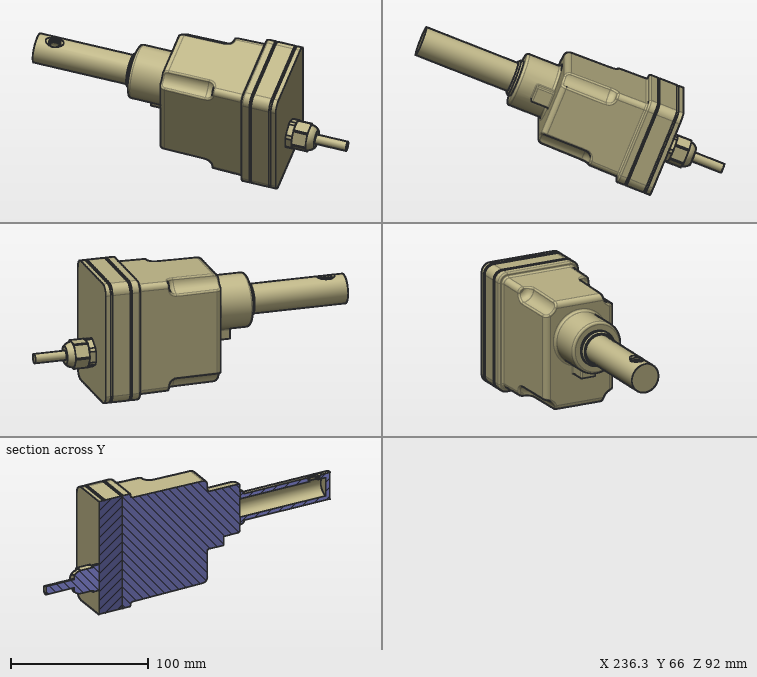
import cadquery as cq
import math


PROBE_LENGTH = 75.0
CASE_FACE_X = 101.8
FLANGE_X = 165.6
SPLIT_X = 173.0
COVER_END_X = 192.3
NUT_X = 197.0
DOME_X = 207.7
DOME_END_X = 213.0
CABLE_END_X = 236.3

PROBE_DIAMETER = 22.0
COLLAR_DIAMETER = 27.0
COLLAR_LENGTH = 3.3
COLLAR_CHAMFER = 1.5
BORE_DIAMETER = 14.5
TIP_WALL = 3.8
SIDE_HOLE_X = 13.5
SIDE_HOLE_DIAMETER = 7.0
COUNTERBORE_DIAMETER = 9.0
COUNTERBORE_FLOOR_Z = 8.5
COUNTERSINK_DIAMETER = 13.5

FLANGE_WIDTH = 66.0
FLANGE_HEIGHT = 92.0
FLANGE_CORNER_RADIUS = 7.0
FLANGE_EDGE_RADIUS = 1.5
CASE_CENTRE_Z = -12.0
LIP_LENGTH = 0.7
GROOVE_X = 187.9
GROOVE_WIDTH = 1.5
GROOVE_DEPTH = 0.2

CASE_WIDTH = 58.8
CASE_HEIGHT = 85.0
CASE_DRAFT = 1.0
CASE_EDGE_RADIUS = 4.3
CASE_ROOT_RADIUS = 1.5

POCKET_RADIUS = 9.0
POCKET_END_X = 142.3
POCKET_FLOOR_RADIUS = 5.5
POCKET_EDGE_RADIUS = 1.5
POCKET_OVERRUN = 2.4

BOSS_DIAMETER = 40.0
BOSS_FILLET = 2.0
KEY_X = 88.4
KEY_WIDTH = 12.0
KEY_BOTTOM_Z = -27.2
KEY_EDGE_RADIUS = 1.0
KEY_ROOT_RADIUS = 0.7

GLAND_Z = -28.0
BASE_NUT_ACROSS_FLATS = 19.8
FRONT_NUT_ACROSS_FLATS = 19.1
NUT_CORNER_DIAMETER = 21.5
DOME_MIDDLE_X = 210.8
DOME_MIDDLE_DIAMETER = 17.0
DOME_END_DIAMETER = 13.2
CABLE_DIAMETER = 7.0

TOLERANCE = 0.2
POCKET_REACH = 11.5


def plane_at(x, z=0.0):
    """A YZ work plane at station x, with its origin at height z."""
    return cq.Workplane("YZ", origin=(x, 0, z))


def cylinder(x_start, x_end, diameter, z=0.0):
    return plane_at(x_start, z).circle(diameter / 2).extrude(x_end - x_start)


def rounded_slab(x_start, x_end, inset=0.0):
    """A slab with the flange outline, shrunk all round by inset."""
    return (
        plane_at(x_start, CASE_CENTRE_Z)
        .rect(FLANGE_WIDTH - 2 * inset, FLANGE_HEIGHT - 2 * inset)
        .extrude(x_end - x_start)
        .edges("|X")
        .fillet(FLANGE_CORNER_RADIUS - inset)
    )


def make_side_hole():
    """Cutter for the countersunk, counterbored hole that opens into the probe bore."""
    probe_radius = PROBE_DIAMETER / 2
    cone_floor_z = math.sqrt(probe_radius**2 - (COUNTERBORE_DIAMETER / 2) ** 2)
    profile = [
        (0, 0),
        (SIDE_HOLE_DIAMETER / 2, 0),
        (SIDE_HOLE_DIAMETER / 2, COUNTERBORE_FLOOR_Z),
        (COUNTERBORE_DIAMETER / 2, COUNTERBORE_FLOOR_Z),
        (COUNTERBORE_DIAMETER / 2, cone_floor_z),
        (COUNTERSINK_DIAMETER / 2, probe_radius),
        (0, probe_radius),
    ]
    hole = cq.Workplane("XZ").polyline(profile).close().revolve(360, (0, 0), (0, 1))
    return hole.translate((SIDE_HOLE_X, 0, 0))


def make_probe():
    rod = cylinder(0, PROBE_LENGTH, PROBE_DIAMETER)
    collar = cylinder(PROBE_LENGTH - COLLAR_LENGTH, PROBE_LENGTH, COLLAR_DIAMETER)
    collar = collar.faces("<X").chamfer(COLLAR_CHAMFER)
    bore = cylinder(TIP_WALL, PROBE_LENGTH, BORE_DIAMETER)
    return rod.union(collar).cut(bore).cut(make_side_hole())


def make_case():
    """The tapered box, with its long edges and front edges rounded."""
    front_width = CASE_WIDTH - 2 * CASE_DRAFT
    front_height = CASE_HEIGHT - 2 * CASE_DRAFT
    return (
        plane_at(CASE_FACE_X, CASE_CENTRE_Z)
        .rect(front_width, front_height)
        .workplane(offset=FLANGE_X - CASE_FACE_X)
        .rect(CASE_WIDTH, CASE_HEIGHT)
        .loft(ruled=True)
        .edges("not(<X or >X)")
        .fillet(CASE_EDGE_RADIUS)
        .faces("<X")
        .edges()
        .fillet(CASE_EDGE_RADIUS)
    )


def cut_pockets(case):
    """Cut a round-bottomed pocket along each long corner, open at the front."""
    corner_y = CASE_WIDTH / 2 - CASE_DRAFT
    corner_z = CASE_HEIGHT / 2 - CASE_DRAFT
    pocket = cylinder(CASE_FACE_X - POCKET_OVERRUN, POCKET_END_X, 2 * POCKET_RADIUS)
    pocket = pocket.faces(">X").edges().fillet(POCKET_FLOOR_RADIUS)
    for side_y in (-1, 1):
        for side_z in (-1, 1):
            centre_z = CASE_CENTRE_Z + side_z * corner_z
            case = case.cut(pocket.translate((0, side_y * corner_y, centre_z)))
    return case


def is_pocket_rim(edge):
    """True for the edges where a pocket meets the outside of the case."""
    centre = edge.Center()
    on_floor_arc = edge.geomType() == "CIRCLE" and centre.x > CASE_FACE_X + TOLERANCE
    in_corner_y = abs(centre.y) > CASE_WIDTH / 2 - POCKET_REACH
    in_corner_z = abs(centre.z - CASE_CENTRE_Z) > CASE_HEIGHT / 2 - POCKET_REACH
    before_end = centre.x < POCKET_END_X + TOLERANCE
    return in_corner_y and in_corner_z and before_end and not on_floor_arc


def make_flange():
    """The flange with a rounded front edge, and the inset lip that meets the cover."""
    flange = rounded_slab(FLANGE_X, SPLIT_X - LIP_LENGTH).faces("<X").edges().fillet(FLANGE_EDGE_RADIUS)
    lip = rounded_slab(SPLIT_X - LIP_LENGTH, SPLIT_X, GROOVE_DEPTH)
    return flange.union(lip)


def make_boss():
    """The cylinder that carries the probe, with its front edge rounded."""
    boss = cylinder(PROBE_LENGTH, CASE_FACE_X, BOSS_DIAMETER)
    return boss.faces("<X").edges().fillet(BOSS_FILLET)


def boss_root():
    """Selector for the circle where the boss meets the front face of the case."""
    reach = BOSS_DIAMETER / 2 + TOLERANCE
    return cq.selectors.BoxSelector(
        (CASE_FACE_X - TOLERANCE, -reach, -reach),
        (CASE_FACE_X + TOLERANCE, reach, reach),
        boundingbox=True,
    )


def is_key_root(edge):
    """True for the edges where the key meets the boss, its root fillet and the case."""
    box = edge.BoundingBox()
    in_key_width = max(-box.ymin, box.ymax) < KEY_WIDTH / 2 + TOLERANCE
    in_key_height = KEY_BOTTOM_Z - TOLERANCE < box.zmin and box.zmax < 0
    in_key_length = box.xmin > KEY_X - TOLERANCE and box.xmax < CASE_FACE_X + TOLERANCE
    on_case = box.xmin > CASE_FACE_X - TOLERANCE
    on_boss = box.zmin > -BOSS_DIAMETER / 2 - BOSS_FILLET
    return in_key_width and in_key_height and in_key_length and (on_case or on_boss)


def make_key():
    """The block below the boss, rounded on its front, bottom and outer edges."""
    length = CASE_FACE_X - KEY_X
    key = cq.Workplane("XY").box(length, KEY_WIDTH, -KEY_BOTTOM_Z, centered=(False, True, False))
    key = key.translate((KEY_X, 0, KEY_BOTTOM_Z))
    return key.edges("<Z or (<X and |Z)").edges("not >X").fillet(KEY_EDGE_RADIUS)


def flange_root():
    """Selector for the outline where the case meets the front of the flange."""
    reach_y = CASE_WIDTH / 2 + TOLERANCE
    reach_z = CASE_HEIGHT / 2 + TOLERANCE
    return cq.selectors.BoxSelector(
        (FLANGE_X - TOLERANCE, -reach_y, CASE_CENTRE_Z - reach_z),
        (FLANGE_X + TOLERANCE, reach_y, CASE_CENTRE_Z + reach_z),
    )


def make_housing():
    case = cut_pockets(make_case())
    case = case.edges().filter(is_pocket_rim).fillet(POCKET_EDGE_RADIUS)
    housing = case.union(make_flange()).edges(flange_root()).fillet(CASE_ROOT_RADIUS)
    housing = housing.union(make_boss()).edges(boss_root()).fillet(BOSS_FILLET)
    housing = housing.union(make_key())
    return housing.edges().filter(is_key_root).fillet(KEY_ROOT_RADIUS)


def make_cover():
    """The rear cover, with a lip at the housing and a shallow groove near its end."""
    groove_start = GROOVE_X - GROOVE_WIDTH / 2
    groove_end = GROOVE_X + GROOVE_WIDTH / 2
    return (
        rounded_slab(SPLIT_X, SPLIT_X + LIP_LENGTH, GROOVE_DEPTH)
        .union(rounded_slab(SPLIT_X + LIP_LENGTH, groove_start))
        .union(rounded_slab(groove_start, groove_end, GROOVE_DEPTH))
        .union(rounded_slab(groove_end, COVER_END_X))
    )


def make_nut(x_start, x_end, across_flats, turn):
    """A hexagon nut with rounded corners, turned about its axis; at 0 its corners point along Y."""
    across_corners = across_flats / math.cos(math.pi / 6)
    nut = plane_at(x_start).polygon(6, across_corners).extrude(x_end - x_start)
    nut = nut.rotate((0, 0, 0), (1, 0, 0), turn)
    return nut.intersect(cylinder(x_start, x_end, NUT_CORNER_DIAMETER)).translate((0, 0, GLAND_Z))


def make_dome():
    """The rounded end of the gland, revolved about the cable axis."""
    return (
        cq.Workplane("XZ", origin=(0, 0, GLAND_Z))
        .moveTo(DOME_X, 0)
        .lineTo(DOME_X, FRONT_NUT_ACROSS_FLATS / 2)
        .threePointArc((DOME_MIDDLE_X, DOME_MIDDLE_DIAMETER / 2), (DOME_END_X, DOME_END_DIAMETER / 2))
        .lineTo(DOME_END_X, 0)
        .close()
        .revolve(360, (0, 0), (1, 0))
    )


def make_gland():
    """The cable gland: two nuts, a rounded dome and the moulded-in cable."""
    base_nut = make_nut(COVER_END_X, NUT_X, BASE_NUT_ACROSS_FLATS, 90)
    front_nut = make_nut(NUT_X, DOME_X, FRONT_NUT_ACROSS_FLATS, 0)
    cable = cylinder(DOME_END_X, CABLE_END_X, CABLE_DIAMETER, GLAND_Z)
    return base_nut.union(front_nut).union(make_dome()).union(cable)


probe = make_probe()
housing = make_housing()
cover = make_cover()
gland = make_gland()
result = cq.Compound.makeCompound(
    [*probe.solids().vals(), *housing.solids().vals(), *cover.solids().vals(), *gland.solids().vals()]
)